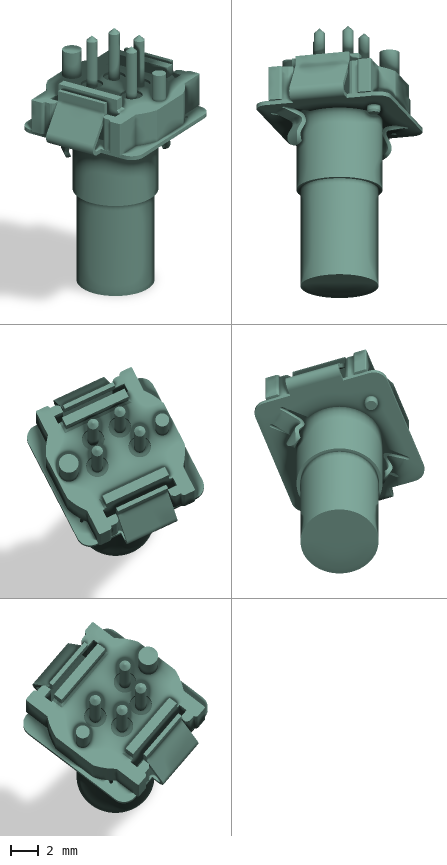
import cadquery as cq
import math

BARREL_STEP_Z = 7.25
PLATE_THICKNESS = 0.3
BLOCK_BOTTOM_Z = 12.8
PLATE_BOTTOM_Z = BLOCK_BOTTOM_Z - PLATE_THICKNESS
PLATE_MID_Z = (PLATE_BOTTOM_Z + BLOCK_BOTTOM_Z) / 2
BLOCK_TOP_Z = 15.28
BAR_TOP_Z = 16.27
POST_TOP_Z = 17.3
PIN_TIP_Z = 19.1

BARREL_RADIUS = 2.8
COLLAR_RADIUS = 3.1

PLATE_SIDE = 10.0
BLOCK_RADIUS = PLATE_SIDE / 2
BLOCK_HALF_X = 4.7
LUG_HALF_X = 3.84
LUG_END_Y = 5.21
LUG_OUTER_ROUND = 0.1
LUG_INNER_X = 2.8
LUG_INNER_ROUND = 0.21
END_WALL_Y = 4.99
THROAT_HALF_X = 2.08
THROAT_CORNER = (2.23, 4.93)
THROAT_SHALLOW_X = 2.37
THROAT_STEEP_Y = 4.78
POCKET_OUTER_Y = 4.3

BAR_HALF_X = 2.5
BAR_INNER_Y = 2.96
BAR_OUTER_Y = 3.65
BAR_SKIRT = 0.17

PIN_RADIUS = 0.4
PIN_CONE_HEIGHT = 0.38
PIN_RECESS_RADIUS = 0.8
PIN_RECESS_DEPTH = 0.2
PIN_CENTRES = [(-1.07, 1.47), (1.07, 1.47), (-1.7, -0.5), (1.7, -0.5)]

POST_X = 3.75
LEFT_POST_RADIUS = 0.7
RIGHT_POST_RADIUS = 0.5

PEG_CENTRE = (3.32, -2.62)
PEG_RADIUS = 0.48
PEG_BOTTOM_Z = 11.98
PEG_CHAMFER = (0.17, 0.08)

PLATE_CORNER_RADIUS = 1.0
CLIP_WIDTH = 4.01
CLIP_BEND_Y = 5.48
CLIP_LEAN = 36.6
CLIP_CURL_RADIUS = 0.57
CLIP_SLOPE_LENGTH = 2.33
CLIP_NECK_RADIUS = 0.45
CLIP_TAB_LENGTH = 0.7

ARM_DIRECTIONS = (45, 225)
ARM_WIDTH = 1.43
ARM_GAP = 0.27
ARM_ROOT_X = 5.02
ARM_ROOT_LENGTH = 0.1
ARM_DIP = 17
ARM_DIP_LENGTH = 1.25
ARM_FLARE = 30
ARM_BEND_RADIUS = 0.44
ARM_FLARE_LENGTH = 0.55
ARM_TIP_BEND_RADIUS = 0.75
ARM_TIP_TURN = 82
ARM_TIP_CENTRE_Z = 10.81


def cylinder(centre, radius, bottom_z, top_z):
    """Upright cylinder between two heights."""
    return cq.Workplane("XY", origin=(*centre, bottom_z)).circle(radius).extrude(top_z - bottom_z)


def box(x_range, y_range, z_range):
    """Box given by its lower and upper limit on each axis."""
    size = [high - low for low, high in (x_range, y_range, z_range)]
    corner = (x_range[0], y_range[0], z_range[0])
    return cq.Workplane("XY").box(*size, centered=False).translate(corner)


def half_turn(shape):
    """The same shape on the opposite side of the Z axis."""
    return shape.rotate((0, 0, 0), (0, 0, 1), 180)


def make_block():
    """Round block with flats, four corner lugs and a clip pocket at each end, mirrored from a quarter."""
    mid_angle = (math.acos(BLOCK_HALF_X / BLOCK_RADIUS) + math.acos(LUG_HALF_X / BLOCK_RADIUS)) / 2
    quarter = (
        cq.Workplane("XY", origin=(0, 0, BLOCK_BOTTOM_Z))
        .lineTo(BLOCK_HALF_X, 0)
        .lineTo(BLOCK_HALF_X, math.sqrt(BLOCK_RADIUS**2 - BLOCK_HALF_X**2))
        .threePointArc(
            (BLOCK_RADIUS * math.cos(mid_angle), BLOCK_RADIUS * math.sin(mid_angle)),
            (LUG_HALF_X, math.sqrt(BLOCK_RADIUS**2 - LUG_HALF_X**2)),
        )
        .lineTo(LUG_HALF_X, LUG_END_Y)
        .lineTo(LUG_INNER_X, LUG_END_Y)
        .lineTo(LUG_INNER_X, END_WALL_Y)
        .lineTo(THROAT_SHALLOW_X, END_WALL_Y)
        .lineTo(*THROAT_CORNER)
        .lineTo(THROAT_HALF_X, THROAT_STEEP_Y)
        .lineTo(THROAT_HALF_X, POCKET_OUTER_Y)
        .lineTo(LUG_INNER_X, POCKET_OUTER_Y)
        .lineTo(LUG_INNER_X, BAR_OUTER_Y)
        .lineTo(0, BAR_OUTER_Y)
        .close()
        .extrude(BLOCK_TOP_Z - BLOCK_BOTTOM_Z)
    )
    rounded_corners = [
        (LUG_HALF_X, LUG_END_Y, LUG_OUTER_ROUND),
        (LUG_INNER_X, LUG_END_Y, LUG_INNER_ROUND),
    ]
    for x, y, radius in rounded_corners:
        corner = cq.NearestToPointSelector((x, y, (BLOCK_BOTTOM_Z + BLOCK_TOP_Z) / 2))
        quarter = quarter.edges("|Z").edges(corner).fillet(radius)
    half = quarter.union(quarter.mirror("YZ"))
    return half.union(half.mirror("XZ"))


def make_bar():
    """Retaining bar on the +Y side of the block, with a sloping skirt on three sides of its foot."""
    bar = box((-BAR_HALF_X, BAR_HALF_X), (BAR_INNER_Y, BAR_OUTER_Y), (BLOCK_TOP_Z, BAR_TOP_Z))
    skirt_x = BAR_HALF_X + BAR_SKIRT
    skirt_depth = BAR_OUTER_Y - BAR_INNER_Y + BAR_SKIRT
    skirt = cq.Workplane("XY", origin=(0, BAR_OUTER_Y, BLOCK_TOP_Z)).rect(2 * skirt_x, 2 * skirt_depth)
    skirt = skirt.extrude(BAR_SKIRT, taper=45)
    pocket_side = box((-skirt_x, skirt_x), (BAR_OUTER_Y, BAR_OUTER_Y + skirt_depth), (BLOCK_TOP_Z, BAR_TOP_Z))
    skirt = skirt.cut(pocket_side)
    return bar.union(skirt)


def make_pin(centre):
    """Contact pin with a conical tip, standing on the floor of its recess."""
    foot_z = BLOCK_TOP_Z - PIN_RECESS_DEPTH
    shoulder_z = PIN_TIP_Z - PIN_CONE_HEIGHT
    profile = [(0, foot_z), (PIN_RADIUS, foot_z), (PIN_RADIUS, shoulder_z), (0, PIN_TIP_Z)]
    return cq.Workplane("XZ").polyline(profile).close().revolve().translate((*centre, 0))


def make_peg():
    """Locating peg that passes through the plate, with a chamfered lead-in."""
    peg = cylinder(PEG_CENTRE, PEG_RADIUS, PEG_BOTTOM_Z, BLOCK_BOTTOM_Z)
    return peg.faces("<Z").chamfer(*PEG_CHAMFER)


def make_housing():
    """Barrel, block, retaining bars, pins, posts and pegs in one piece."""
    housing = make_block()
    housing = housing.union(cylinder((0, 0), BARREL_RADIUS, 0, BARREL_STEP_Z))
    housing = housing.union(cylinder((0, 0), COLLAR_RADIUS, BARREL_STEP_Z, BLOCK_BOTTOM_Z))
    housing = housing.union(cylinder((-POST_X, 0), LEFT_POST_RADIUS, BLOCK_TOP_Z, POST_TOP_Z))
    housing = housing.union(cylinder((POST_X, 0), RIGHT_POST_RADIUS, BLOCK_TOP_Z, POST_TOP_Z))
    for feature in (make_bar(), make_peg()):
        housing = housing.union(feature).union(half_turn(feature))
    for centre in PIN_CENTRES:
        recess = cylinder(centre, PIN_RECESS_RADIUS, BLOCK_TOP_Z - PIN_RECESS_DEPTH, BLOCK_TOP_Z)
        housing = housing.cut(recess).union(make_pin(centre))
    return housing


def bent_strip(start, heading, steps, width):
    """Sheet strip bent along a path in the XZ plane and centred on Y = 0.

    The path runs along the middle of the sheet from start. Headings are degrees from +X toward +Z.
    Each step is (straight length, turn in degrees, bend radius at the middle of the sheet).
    """
    half = PLATE_THICKNESS / 2
    strip = None

    def offset(point, angle, distance):
        return (
            point[0] + distance * math.cos(math.radians(angle)),
            point[1] + distance * math.sin(math.radians(angle)),
        )

    def add(strip, outline):
        piece = outline.close().extrude(width / 2, both=True)
        return piece if strip is None else strip.union(piece)

    point = start
    for length, turn, radius in steps:
        end = offset(point, heading, length)
        sides = [offset(p, heading + s * 90, half) for p, s in ((point, 1), (end, 1), (end, -1), (point, -1))]
        strip = add(strip, cq.Workplane("XZ").polyline(sides))
        point = end
        if turn:
            toward_centre = heading + math.copysign(90, turn)
            centre = offset(point, toward_centre, radius)
            angles = [toward_centre + 180 + turn * fraction for fraction in (0, 0.5, 1)]
            outer = [offset(centre, angle, radius + half) for angle in angles]
            inner = [offset(centre, angle, radius - half) for angle in reversed(angles)]
            bend = cq.Workplane("XZ").moveTo(*outer[0]).threePointArc(*outer[1:])
            strip = add(strip, bend.lineTo(*inner[0]).threePointArc(*inner[1:]))
            point = offset(centre, angles[-1], radius)
            heading += turn
    return strip


def make_clip():
    """Clip spring on the +Y edge: it curls up, leans back over the block and ends in an upright tab."""
    edge = PLATE_SIDE / 2
    curl_radius = CLIP_CURL_RADIUS - PLATE_THICKNESS / 2
    steps = [
        (CLIP_BEND_Y - edge, 90 + CLIP_LEAN, curl_radius),
        (CLIP_SLOPE_LENGTH, -CLIP_LEAN, CLIP_NECK_RADIUS),
        (CLIP_TAB_LENGTH, 0, 0),
    ]
    clip = bent_strip((edge, PLATE_MID_Z), 0, steps, CLIP_WIDTH)
    return clip.rotate((0, 0, 0), (0, 0, 1), 90)


def make_arm():
    """Contact arm along +X: it dips toward the barrel, turns outward and ends in a curled round tip."""
    turn_down = 90 - ARM_DIP + ARM_FLARE
    steps = [
        (ARM_ROOT_LENGTH, ARM_DIP, ARM_BEND_RADIUS),
        (ARM_DIP_LENGTH, turn_down, ARM_BEND_RADIUS),
        (ARM_FLARE_LENGTH, -ARM_TIP_TURN, ARM_TIP_BEND_RADIUS),
    ]
    arm = bent_strip((ARM_ROOT_X, PLATE_MID_Z), 180, steps, ARM_WIDTH)
    half_width = ARM_WIDTH / 2
    tip = cq.Workplane("YZ").center(0, ARM_TIP_CENTRE_Z).circle(half_width).extrude(ARM_ROOT_X)
    shank = box((0, ARM_ROOT_X), (-half_width, half_width), (ARM_TIP_CENTRE_Z, BLOCK_BOTTOM_Z))
    return arm.intersect(tip.union(shank))


def make_shield():
    """Shield plate with two clip springs and two contact arms bent out of it."""
    plate = cq.Workplane("XY", origin=(0, 0, PLATE_BOTTOM_Z)).rect(PLATE_SIDE, PLATE_SIDE)
    plate = plate.extrude(PLATE_THICKNESS).edges("|Z").fillet(PLATE_CORNER_RADIUS)
    plate = plate.cut(cylinder((0, 0), COLLAR_RADIUS, PLATE_BOTTOM_Z, BLOCK_BOTTOM_Z))
    peg_hole = cylinder(PEG_CENTRE, PEG_RADIUS, PLATE_BOTTOM_Z, BLOCK_BOTTOM_Z)
    plate = plate.cut(peg_hole).cut(half_turn(peg_hole))

    slot_half_width = ARM_WIDTH / 2 + ARM_GAP
    slot = box((0, ARM_ROOT_X), (-slot_half_width, slot_half_width), (PLATE_BOTTOM_Z, BLOCK_BOTTOM_Z))
    for side in (1, -1):
        gap_middle = side * (ARM_WIDTH + ARM_GAP) / 2
        round_end = cylinder((ARM_ROOT_X, gap_middle), ARM_GAP / 2, PLATE_BOTTOM_Z, BLOCK_BOTTOM_Z)
        slot = slot.union(round_end)
    arm = make_arm()
    for direction in ARM_DIRECTIONS:
        plate = plate.cut(slot.rotate((0, 0, 0), (0, 0, 1), direction))
        plate = plate.union(arm.rotate((0, 0, 0), (0, 0, 1), direction))

    clip = make_clip()
    return plate.union(clip).union(half_turn(clip))


housing = make_housing()
shield = make_shield()
result = cq.Compound.makeCompound([*housing.solids().vals(), *shield.solids().vals()])